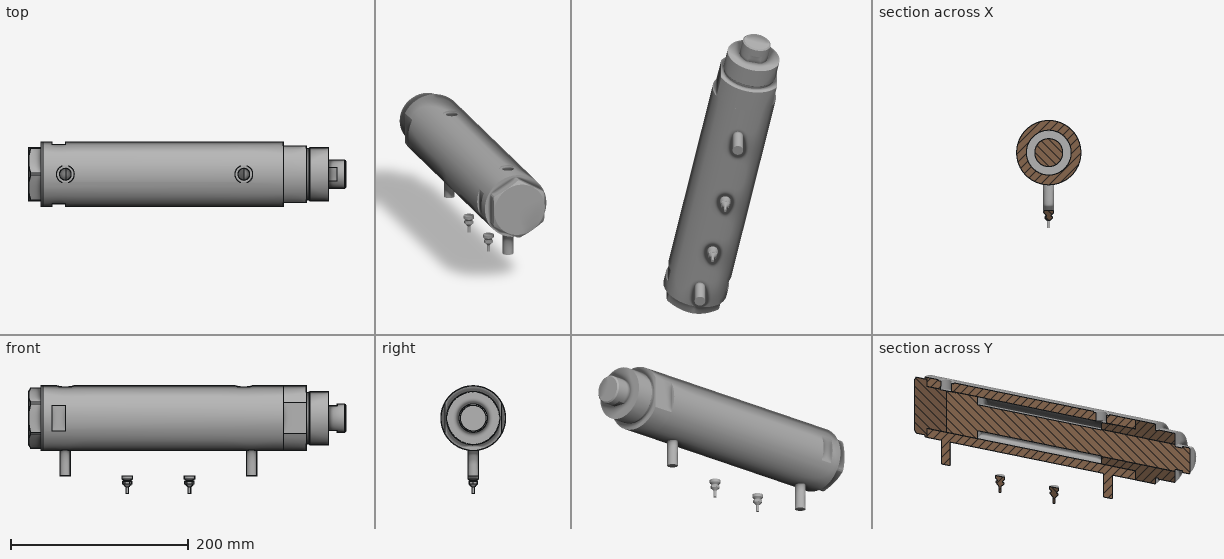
import cadquery as cq
import math


TUBE_DIA = 73.0
BORE_DIA = 50.0
TUBE_START = 16.5
TUBE_END = 287.0
TUBE_FLAT_START = 26.5
TUBE_FLAT_LENGTH = 15.0
TUBE_FLAT_SPAN = 67.0

PORT_XS = (41.5, 242.5)
PORT_DIA = 13.2
SPOTFACE_DIA = 20.0
SPOTFACE_DEPTH = 1.2

ACCESSORY_START = 41.2
ACCESSORY_PITCH = 70.0
PIN_XS = (ACCESSORY_START, ACCESSORY_START + 3 * ACCESSORY_PITCH)
PLUG_XS = (ACCESSORY_START + ACCESSORY_PITCH, ACCESSORY_START + 2 * ACCESSORY_PITCH)
PIN_DIA = 12.0
PIN_BOTTOM = -65.0
PIN_ROOT = -(BORE_DIA + TUBE_DIA) / 4

HEX_LENGTH = 14.0
HEX_ACROSS_FLATS = 60.0
HEX_CORNER_DIA = 68.0
HEX_FACE_DIA = 59.5
HEX_CHAMFER_ANGLE = 30.0
CAP_SPIGOT_END = 42.2

GLAND_SPIGOT_START = PORT_XS[1]
GLAND_SHOULDER_END = 313.0
GLAND_FLAT_SPAN = 64.0
NECK_DIA = 58.0
NECK_END = 316.0
NOSE_DIA = 60.0
NOSE_END = 338.0
NOSE_CHAMFER = 0.8

ROD_DIA = 32.0
ROD_END = 357.5
ROD_CHAMFER = 1.5
ROD_FLAT_SPAN = 28.0
ROD_FLAT_LENGTH = 9.5
PISTON_LENGTH = 40.0

PLUG_TOP = PIN_BOTTOM
PLUG_LENGTH = 20.0
PLUG_HEAD_DIA = 12.0
PLUG_HEAD_HEIGHT = 3.3
PLUG_NECK_DIA = 7.5
PLUG_NECK_LEVEL = 5.5
PLUG_HEX_TOP = 6.6
PLUG_HEX_BOTTOM = 9.4
PLUG_HEX_ACROSS_FLATS = 9.2
PLUG_STEM_DIA = 3.3
PLUG_STEM_LEVEL = 12.5


def rod_between(start, end, diameter):
    """Solid cylinder on the X axis from one X position to another."""
    return cq.Workplane("YZ", origin=(start, 0, 0)).circle(diameter / 2).extrude(end - start)


def slab(start, end, y_size, z_size):
    """Block centred on the X axis between two X positions."""
    return cq.Workplane("YZ", origin=(start, 0, 0)).rect(y_size, z_size).extrude(end - start)


def hexagon_points(across_flats, corner_angle):
    """Corners of a regular hexagon, the first one at the given angle in degrees."""
    corner_radius = across_flats / math.sqrt(3)
    angles = [math.radians(corner_angle + 60 * i) for i in range(6)]
    return [(corner_radius * math.cos(a), corner_radius * math.sin(a)) for a in angles]


def wrench_flats(start, end, span):
    """Cutter for two flats facing +Y and -Y, leaving the given span between them."""
    outer = slab(start, end, 2 * TUBE_DIA, 2 * TUBE_DIA)
    return outer.cut(slab(start, end, span, 2 * TUBE_DIA))


def make_tube():
    tube = rod_between(TUBE_START, TUBE_END, TUBE_DIA)
    for x in PIN_XS:
        pin = cq.Workplane("XY", origin=(x, 0, PIN_BOTTOM)).circle(PIN_DIA / 2)
        tube = tube.union(pin.extrude(PIN_ROOT - PIN_BOTTOM))
    tube = tube.cut(rod_between(TUBE_START, TUBE_END, BORE_DIA))
    flat_end = TUBE_FLAT_START + TUBE_FLAT_LENGTH
    tube = tube.cut(wrench_flats(TUBE_FLAT_START, flat_end, TUBE_FLAT_SPAN))
    for x in PORT_XS:
        port = cq.Workplane("XY", origin=(x, 0, 0)).circle(PORT_DIA / 2).extrude(TUBE_DIA)
        floor = TUBE_DIA / 2 - SPOTFACE_DEPTH
        spotface = cq.Workplane("XY", origin=(x, 0, floor)).circle(SPOTFACE_DIA / 2)
        tube = tube.cut(port).cut(spotface.extrude(TUBE_DIA))
    return tube


def make_cap():
    hexagon = hexagon_points(HEX_ACROSS_FLATS, 90)
    head = cq.Workplane("YZ").polyline(hexagon).close().extrude(HEX_LENGTH)
    head = head.intersect(rod_between(0, HEX_LENGTH, HEX_CORNER_DIA))
    growth = HEX_LENGTH / math.tan(math.radians(HEX_CHAMFER_ANGLE))
    cone = (
        cq.Workplane("XY")
        .polyline([
            (0, 0),
            (0, HEX_FACE_DIA / 2),
            (HEX_LENGTH, HEX_FACE_DIA / 2 + growth),
            (HEX_LENGTH, 0),
        ])
        .close()
        .revolve(360, (0, 0, 0), (1, 0, 0))
    )
    flange = rod_between(HEX_LENGTH, TUBE_START, TUBE_DIA)
    spigot = rod_between(TUBE_START, CAP_SPIGOT_END, BORE_DIA)
    return head.intersect(cone).union(flange).union(spigot)


def make_gland():
    gland = rod_between(GLAND_SPIGOT_START, TUBE_END, BORE_DIA)
    gland = gland.union(rod_between(TUBE_END, GLAND_SHOULDER_END, TUBE_DIA))
    gland = gland.cut(wrench_flats(TUBE_END, GLAND_SHOULDER_END, GLAND_FLAT_SPAN))
    gland = gland.union(rod_between(GLAND_SHOULDER_END, NECK_END, NECK_DIA))
    nose = rod_between(NECK_END, NOSE_END, NOSE_DIA).faces("<X").chamfer(NOSE_CHAMFER)
    gland = gland.union(nose)
    return gland.cut(rod_between(GLAND_SPIGOT_START, NOSE_END, ROD_DIA))


def make_piston_rod():
    rod = rod_between(CAP_SPIGOT_END, ROD_END, ROD_DIA).faces(">X").chamfer(ROD_CHAMFER)
    piston = rod_between(CAP_SPIGOT_END, CAP_SPIGOT_END + PISTON_LENGTH, BORE_DIA)
    flat_end = NOSE_END + ROD_FLAT_LENGTH
    flats = wrench_flats(NOSE_END, flat_end, ROD_FLAT_SPAN).rotate((0, 0, 0), (1, 0, 0), 90)
    return rod.cut(flats).union(piston)


def make_plug(x):
    head_radius = PLUG_HEAD_DIA / 2
    neck_radius = PLUG_NECK_DIA / 2
    stem_radius = PLUG_STEM_DIA / 2
    hex_radius = PLUG_HEX_ACROSS_FLATS / 2
    turned = (
        cq.Workplane("XZ")
        .polyline([
            (0, 0),
            (head_radius, 0),
            (head_radius, -PLUG_HEAD_HEIGHT),
            (neck_radius, -PLUG_NECK_LEVEL),
            (neck_radius, -PLUG_HEX_BOTTOM),
            (hex_radius, -PLUG_HEX_BOTTOM),
            (stem_radius, -PLUG_STEM_LEVEL),
            (stem_radius, -PLUG_LENGTH),
            (0, -PLUG_LENGTH),
        ])
        .close()
        .revolve(360, (0, 0, 0), (0, 1, 0))
    )
    hexagon = hexagon_points(PLUG_HEX_ACROSS_FLATS, 0)
    nut = cq.Workplane("XY", origin=(0, 0, -PLUG_HEX_BOTTOM)).polyline(hexagon).close()
    plug = turned.union(nut.extrude(PLUG_HEX_BOTTOM - PLUG_HEX_TOP))
    return plug.translate((x, 0, PLUG_TOP))


tube = make_tube()
cap = make_cap()
gland = make_gland()
piston_rod = make_piston_rod()
plugs = [make_plug(x) for x in PLUG_XS]

result = cq.Compound.makeCompound([
    tube.val(),
    cap.val(),
    gland.val(),
    piston_rod.val(),
    *[plug.val() for plug in plugs],
])